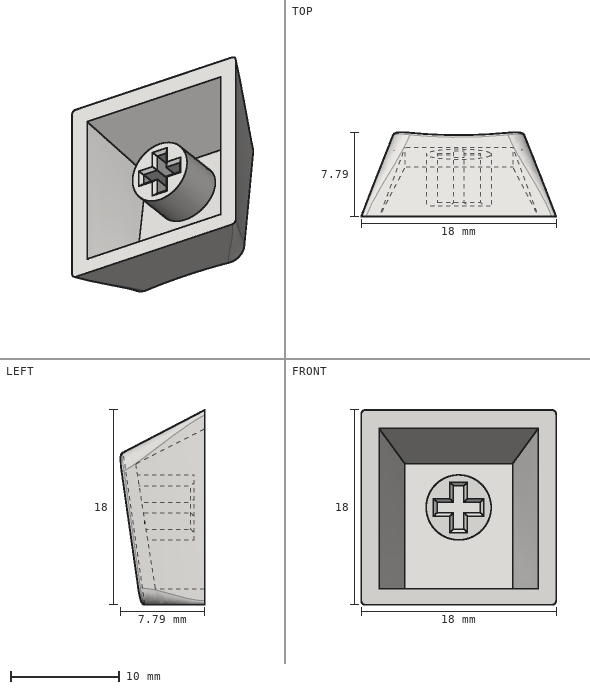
import cadquery as cq
import math

rim_size = 18.0
rim_corner_radius = 0.41

crown_half_width = 5.98
crown_top_z = 4.86
crown_bottom_z = -rim_size / 2
crown_top_height = 7.95
crown_bottom_height = 5.98
crown_corner_radius = 1.62
crown_edge_radius = 0.36
dish_depth = 0.41
wall_steps = 4

opening_half_width = 7.35
opening_top_z = 7.29
cavity_bottom_z = -7.5
ceiling_half_width = 4.97
ceiling_top_z = 4.03
ceiling_top_height = 6.4
ceiling_bottom_height = 4.59

stem_diameter = 6.0
stem_face_height = 1.0
cross_length = 4.65
cross_arm_width = 1.62
bevel_depth = 0.32
bevel_inset = 0.32


def blend(start, end, fraction):
    return start + (end - start) * fraction


def sloped_plane(bottom, top):
    """Plane through two (height, z) points; local X is the part's X, local Y runs up the slope."""
    center = (0, (bottom[0] + top[0]) / 2, (bottom[1] + top[1]) / 2)
    rise = top[0] - bottom[0]
    run = top[1] - bottom[1]
    return cq.Plane(origin=center, xDir=(1, 0, 0), normal=(0, -run, rise))


def sloped_rectangle(half_width, bottom, top, corner_radius=0.0):
    """Rectangular wire between two (height, z) levels, with optional round corners."""
    length = math.dist(bottom, top)
    sketch = cq.Sketch().rect(2 * half_width, length)
    if corner_radius > 0:
        sketch = sketch.vertices().fillet(corner_radius)
    wire = sketch.reset().faces().val().outerWire()
    return wire.moved(cq.Location(sloped_plane(bottom, top)))


def outer_section(fraction):
    """Outer outline part of the way from the rim to the crown; corners widen along an S-curve."""
    half_rim = rim_size / 2
    eased = fraction**2 * (3 - 2 * fraction)
    return sloped_rectangle(
        blend(half_rim, crown_half_width, fraction),
        (crown_bottom_height * fraction, blend(-half_rim, crown_bottom_z, fraction)),
        (crown_top_height * fraction, blend(half_rim, crown_top_z, fraction)),
        blend(rim_corner_radius, crown_corner_radius, eased),
    )


def make_dish():
    """Cylinder lying along the crown's slope that hollows it by the dish depth."""
    radius = (crown_half_width**2 + dish_depth**2) / (2 * dish_depth)
    bottom = (crown_bottom_height, crown_bottom_z)
    top = (crown_top_height, crown_top_z)
    plane = sloped_plane(bottom, top)
    axis_offset = radius - dish_depth
    axis_point = plane.origin - plane.zDir * axis_offset
    profile_plane = cq.Plane(origin=axis_point, xDir=(1, 0, 0), normal=plane.yDir)
    return cq.Workplane(profile_plane).circle(radius).extrude(rim_size, both=True)


def make_shell():
    sections = [outer_section(step / wall_steps) for step in range(wall_steps + 1)]
    body = cq.Workplane(cq.Solid.makeLoft(sections)).cut(make_dish())
    return body.faces(">Y").edges().fillet(crown_edge_radius)


def make_cavity():
    opening = sloped_rectangle(opening_half_width, (0, cavity_bottom_z), (0, opening_top_z))
    ceiling = sloped_rectangle(
        ceiling_half_width,
        (ceiling_bottom_height, cavity_bottom_z),
        (ceiling_top_height, ceiling_top_z),
    )
    return cq.Workplane(cq.Solid.makeLoft([opening, ceiling], True))


def make_stem():
    """Post running from its open face into the ceiling."""
    post_plane = cq.Workplane("XZ", origin=(0, stem_face_height, 0))
    return post_plane.circle(stem_diameter / 2).extrude(stem_face_height - ceiling_top_height)


def make_cross(arm_length, arm_width, start_height, end_height):
    """Cross-shaped prism along Y, centered on the stem axis."""
    plane = cq.Workplane("XZ", origin=(0, start_height, 0))
    depth = start_height - end_height
    across = plane.rect(arm_length, arm_width).extrude(depth)
    upright = plane.rect(arm_width, arm_length).extrude(depth)
    return across.union(upright)


def make_socket():
    """Straight cross-shaped hole through the stem, with a beveled mouth."""
    inner_length = cross_length - 2 * bevel_inset
    inner_width = cross_arm_width - 2 * bevel_inset
    pocket = make_cross(inner_length, inner_width, stem_face_height, ceiling_top_height)
    for size_x, size_z in ((cross_length, cross_arm_width), (cross_arm_width, cross_length)):
        mouth = (
            cq.Workplane("XZ", origin=(0, stem_face_height, 0))
            .rect(size_x, size_z)
            .workplane(offset=-bevel_depth)
            .rect(size_x - 2 * bevel_inset, size_z - 2 * bevel_inset)
            .loft(ruled=True)
        )
        pocket = pocket.union(mouth)
    return pocket


result = make_shell().cut(make_cavity()).union(make_stem().cut(make_socket()))